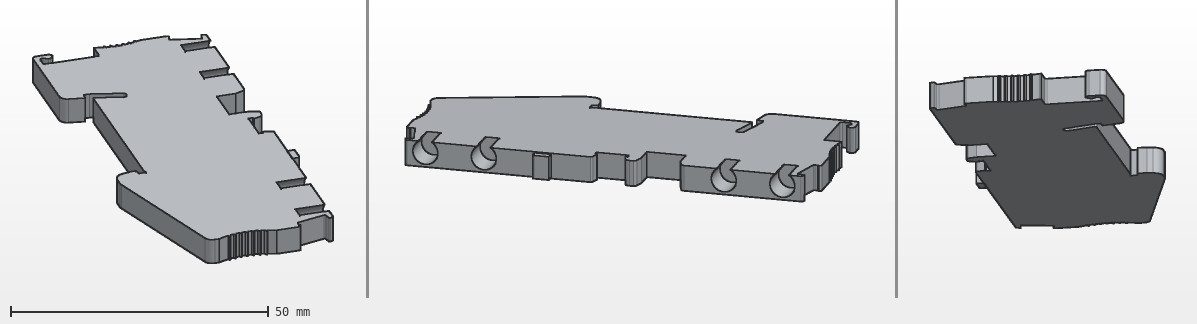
import cadquery as cq
import math

LENGTH = 84.0
THICKNESS = 5.2
TOP_Y = 35.2
MIRROR_X = 41.9

GRIP_RADIUS = 14.3
GRIP_CENTRE_Y = 17.1
LEFT_GRIP_DEPTH = 0.9
RIGHT_GRIP_DEPTH = 1.3
TOOTH_PITCH = 1.3
TOOTH_WIDTH = 0.6
TOOTH_HEIGHT = 0.5
TOP_TOOTH_Y = 21.1
LEFT_TOOTH_COUNT = 6
RIGHT_TOOTH_COUNT = 7

ENTRY_OFFSETS = (24.3, 36.1)
ENTRY_FLOOR_Y = 29.15
ENTRY_RADIUS = 2.5
ENTRY_MOUTH = 2.7

PEG_LEFT_X = 52.6
PEG_WIDTH = 3.4
PEG_TOP_Y = 36.8
PEG_SIDE_INSET = 0.21
PEG_CORNER_RADIUS = 0.3

END_TOP_Y = 28.05
FOOT_LEFT_X = 0.25
LEDGE_X = 0.3
LEDGE_Y = 12.7
LEDGE_STEP_Y = 13.9
RAIL_Y = 6.05
BRIDGE_FLOOR_Y = 32.2

LEFT_LATCH = [
    (0, END_TOP_Y, 0.4),
    (0.5, END_TOP_Y, 0),
    (0.75, 27.8, 0),
    (1.6, 27.8, 0.25),
    (3.1, 33.9, 0.25),
    (1.4, 34.3, 0.2),
    (1.85, TOP_Y, 0.3),
]
LABEL_RECESS = [
    (26.2, TOP_Y, 0.7),
    (27.05, 33.0, 0),
    (27.05, ENTRY_FLOOR_Y, 0),
    (34.95, ENTRY_FLOOR_Y, 0),
    (34.95, 33.0, 0),
    (35.5, TOP_Y, 0.6),
]
BRIDGE_RECESS = [
    (37.55, TOP_Y, 1.0),
    (38.1, 33.2, 0),
    (37.7, 33.0, 0),
    (37.7, BRIDGE_FLOOR_Y, 0),
    (44.3, BRIDGE_FLOOR_Y, 0),
    (44.3, 33.0, 0),
    (43.85, 33.3, 0),
    (44.35, TOP_Y, 0.4),
]
RIGHT_LATCH = [(2 * MIRROR_X - x, y, radius) for x, y, radius in reversed(LEFT_LATCH[1:])]
RIGHT_END = [
    (LENGTH, END_TOP_Y, 0.5),
    (LENGTH, 9.1, 1.7),
    (56.2, 0, 2.1),
]
RIGHT_FOOT = [
    (52.7, 0, 2.2),
    (52.0, 2.8, 0),
    (51.9, 4.5, 0),
    (53.1, 4.9, 0),
    (53.2, 6.3, 0),
    (52.25, RAIL_Y, 0),
]
SPRING_SLOT = [
    (20.2, RAIL_Y, 0.3),
    (21.9, 12.3, 0.7),
    (20.4, 13.0, 0.7),
    (18.5, 5.9, 0),
    (18.5, 4.8, 0),
]
LEFT_FOOT = [
    (19.8, 4.6, 0),
    (19.0, 0, 1.7),
    (FOOT_LEFT_X, 0, 1.0),
]
RELEASE_HOOK = [
    (FOOT_LEFT_X, 3.7, 0.7),
    (1.1, 4.1, 0.25),
    (2.2, 3.1, 0.3),
    (1.35, 1.85, 0.2),
    (1.7, 1.3, 0.25),
    (3.9, 1.3, 0.3),
]
LEFT_LEDGE = [
    (3.9, LEDGE_Y, 0.3),
    (LEDGE_X, LEDGE_Y, 0),
    (LEDGE_X, LEDGE_STEP_Y, 0),
    (0, LEDGE_STEP_Y, 0),
]
OUTLINE = (
    LEFT_LATCH + LABEL_RECESS + BRIDGE_RECESS + RIGHT_LATCH + RIGHT_END
    + RIGHT_FOOT + SPRING_SLOT + LEFT_FOOT + RELEASE_HOOK + LEFT_LEDGE
)


def rounded_outline(corners):
    """Closed wire through the corners, each rounded by a tangent arc of its own radius."""
    edges = []
    arc_ends = []
    for i, (x, y, radius) in enumerate(corners):
        corner = cq.Vector(x, y)
        to_last = (cq.Vector(*corners[i - 1][:2]) - corner).normalized()
        to_next = (cq.Vector(*corners[(i + 1) % len(corners)][:2]) - corner).normalized()
        if radius == 0:
            arc_ends.append((corner, corner))
            continue
        half_angle = to_last.getAngle(to_next) / 2
        setback = radius / math.tan(half_angle)
        start = corner + to_last * setback
        end = corner + to_next * setback
        bisector = (to_last + to_next).normalized()
        middle = corner + bisector * (radius / math.sin(half_angle) - radius)
        edges.append(cq.Edge.makeThreePointArc(start, middle, end))
        arc_ends.append((start, end))
    for i, (start, _) in enumerate(arc_ends):
        last_end = arc_ends[i - 1][1]
        edges.append(cq.Edge.makeLine(last_end, start))
    return cq.Wire.combine(edges)[0]


def grip_cutter(end_x, inward, depth, tooth_count):
    """Arc-shaped cut into one end face, with the teeth left standing."""
    floor_x = end_x + inward * depth
    centre_x = floor_x - inward * GRIP_RADIUS
    cutter = cq.Workplane("XY").center(centre_x, GRIP_CENTRE_Y).circle(GRIP_RADIUS).extrude(THICKNESS)
    for i in range(tooth_count):
        tooth_y = TOP_TOOTH_Y - i * TOOTH_PITCH
        rise = math.sqrt(GRIP_RADIUS**2 - (tooth_y - GRIP_CENTRE_Y) ** 2)
        root_x = centre_x + inward * rise
        tip_x = root_x - inward * TOOTH_HEIGHT
        buried_x = root_x + inward * TOOTH_HEIGHT
        tooth = (
            cq.Workplane("XY")
            .moveTo(tip_x, tooth_y)
            .lineTo(buried_x, tooth_y + TOOTH_WIDTH)
            .lineTo(buried_x, tooth_y - TOOTH_WIDTH)
            .close()
            .extrude(THICKNESS)
        )
        cutter = cutter.cut(tooth)
    return cutter


def wire_entry(x):
    """Round bore from the long edge, its axis set so the mouth in the top face has the given width."""
    axis_z = THICKNESS - math.sqrt(ENTRY_RADIUS**2 - (ENTRY_MOUTH / 2) ** 2)
    return (
        cq.Workplane("XZ", origin=(x, TOP_Y, axis_z))
        .circle(ENTRY_RADIUS)
        .extrude(TOP_Y - ENTRY_FLOOR_Y)
    )


def marker_peg():
    """Small block standing on the long edge, slightly thinner than the housing."""
    overlap = 0.8
    return (
        cq.Workplane("XY")
        .box(PEG_WIDTH, PEG_TOP_Y - TOP_Y + overlap, THICKNESS - 2 * PEG_SIDE_INSET, centered=False)
        .edges("|Z and >X and >Y")
        .fillet(PEG_CORNER_RADIUS)
        .translate((PEG_LEFT_X, TOP_Y - overlap, PEG_SIDE_INSET))
    )


housing = cq.Workplane("XY").add(rounded_outline(OUTLINE)).toPending().extrude(THICKNESS)
housing = housing.cut(grip_cutter(0, 1, LEFT_GRIP_DEPTH, LEFT_TOOTH_COUNT))
housing = housing.cut(grip_cutter(LENGTH, -1, RIGHT_GRIP_DEPTH, RIGHT_TOOTH_COUNT))
for offset in ENTRY_OFFSETS:
    for side in (-1, 1):
        housing = housing.cut(wire_entry(MIRROR_X + side * offset))

result = housing.union(marker_peg())